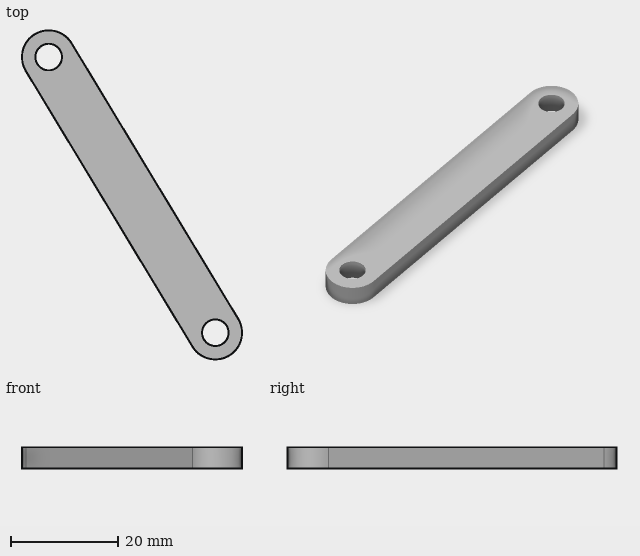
import cadquery as cq
import math

size_x = 41.05
size_y = 61.35
thickness = 4.0

bar_width = 10.0
hole_diameter = 4.9

span_x = size_x - bar_width
span_y = size_y - bar_width
hole_spacing = math.hypot(span_x, span_y)
bar_angle = math.degrees(math.atan2(-span_y, span_x))

bar = (
    cq.Workplane("XY")
    .slot2D(hole_spacing + bar_width, bar_width, bar_angle)
    .extrude(thickness)
)

hole_centres = [(-span_x / 2, span_y / 2), (span_x / 2, -span_y / 2)]
holes = (
    cq.Workplane("XY")
    .pushPoints(hole_centres)
    .circle(hole_diameter / 2)
    .extrude(thickness)
)

result = bar.cut(holes)